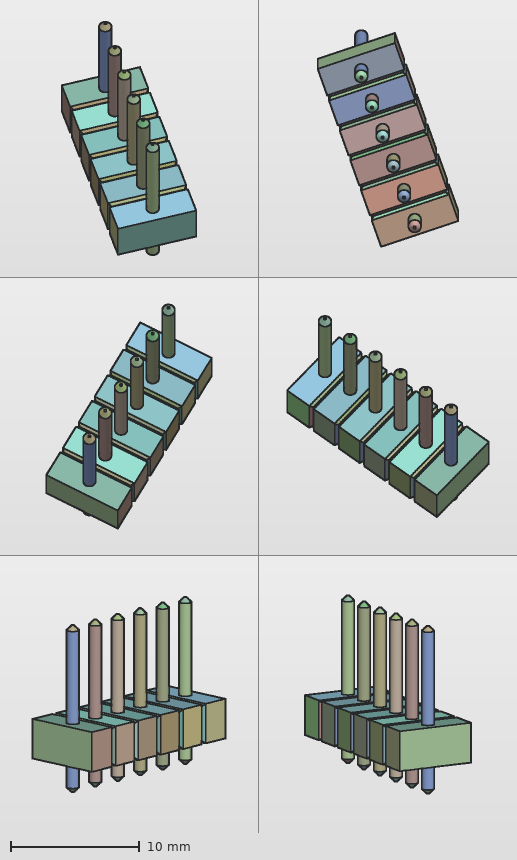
import cadquery as cq

pin_count = 6
pitch = 2.54

housing_length = 15.09
housing_width = 6.35
housing_height = 3.175

groove_depth = 0.22
groove_width = 2 * groove_depth

pin_diameter = 0.99
pin_length = 13.34
pin_tail = 2.35
pin_tip_diameter = 0.19
pin_tip_length = (pin_diameter - pin_tip_diameter) / 2

pin_positions = [(i - (pin_count - 1) / 2) * pitch for i in range(pin_count)]
groove_positions = [x + pitch / 2 for x in pin_positions[:-1]]


def make_groove_cutter(x):
    """Ring with a V-shaped inner edge, wrapping all four long faces at x."""
    ring = cq.Workplane("YZ", origin=(x, 0, housing_height / 2)).rect(housing_width, housing_height)
    ring = ring.extrude(groove_width / 2, both=True)
    waist = cq.Workplane("YZ", origin=(x, 0, housing_height / 2))
    waist_width = housing_width - 2 * groove_depth
    waist_height = housing_height - 2 * groove_depth
    for side in (-1, 1):
        half = (
            waist.rect(waist_width, waist_height)
            .workplane(offset=side * groove_width / 2)
            .rect(housing_width, housing_height)
            .loft(ruled=True)
        )
        ring = ring.cut(half)
    return ring


def make_housing():
    """Break-away block with a groove between pins and a round hole for each pin."""
    block = cq.Workplane("XY").box(
        housing_length, housing_width, housing_height, centered=(True, True, False)
    )
    for x in groove_positions:
        block = block.cut(make_groove_cutter(x))
    holes = (
        cq.Workplane("XY")
        .pushPoints([(x, 0) for x in pin_positions])
        .circle(pin_diameter / 2)
        .extrude(housing_height)
    )
    return block.cut(holes)


def make_pin(x):
    """Round vertical pin with a blunt cone at each end."""
    return (
        cq.Workplane("XY", origin=(x, 0, -pin_tail))
        .circle(pin_diameter / 2)
        .extrude(pin_length)
        .faces("<Z or >Z")
        .chamfer(pin_tip_length)
    )


housing = make_housing()
pins = [make_pin(x) for x in pin_positions]

result = cq.Compound.makeCompound([housing.val(), *[pin.val() for pin in pins]])